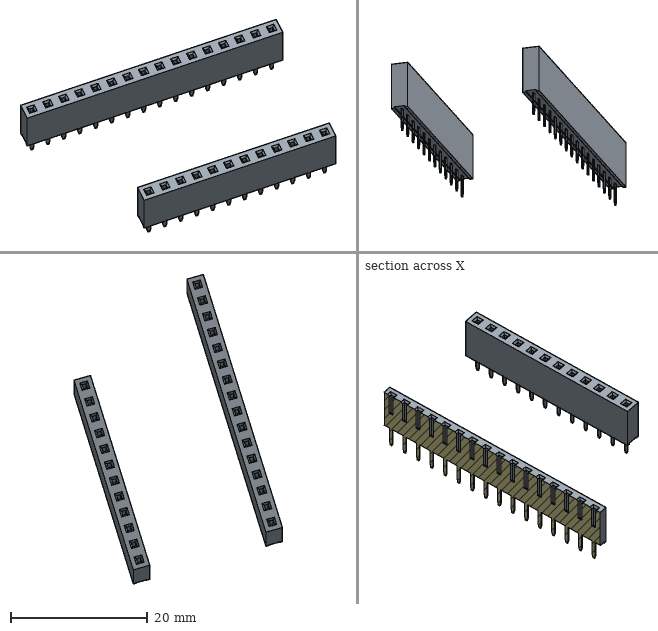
import cadquery as cq

long_length = 40.65
long_count = 16
short_count = 12
pitch = long_length / long_count
row_spacing = 8 * pitch

overall_height = 10.1
housing_height = 7.0
housing_width = pitch
foot_width = 0.5
foot_height = 0.2

lead_in_size = 1.18
lead_in_depth = 0.3
socket_size = lead_in_size - 2 * lead_in_depth
socket_depth = 4.88

pin_thickness = 0.15
pin_width = socket_size
tip_width = 0.3
tip_height = 0.6
pin_rise_in_socket = 1.2
pin_bottom = housing_height - overall_height
socket_floor = housing_height - socket_depth
pin_top = socket_floor + pin_rise_in_socket


def make_housing(length):
    """Bar with its underside at Z = 0, relieved between two feet along its length."""
    bar = cq.Workplane("XY").box(housing_width, length, housing_height, centered=(True, True, False))
    relief_width = housing_width - 2 * foot_width
    relief = cq.Workplane("XY").box(relief_width, length, foot_height, centered=(True, True, False))
    return bar.cut(relief)


def make_opening():
    """Cutter for one contact opening: straight socket plus lead-in tapering down to it."""
    socket = (
        cq.Workplane("XY")
        .workplane(offset=socket_floor)
        .rect(socket_size, socket_size)
        .extrude(socket_depth)
    )
    lead_in = (
        cq.Workplane("XY")
        .workplane(offset=housing_height)
        .rect(lead_in_size, lead_in_size)
        .workplane(offset=-lead_in_depth)
        .rect(socket_size, socket_size)
        .loft()
    )
    return socket.union(lead_in)


def make_pin():
    """Flat pin in the YZ plane, from its tapered tip up into the socket."""
    tip_top = pin_bottom + tip_height
    outline = [
        (-tip_width / 2, pin_bottom),
        (tip_width / 2, pin_bottom),
        (pin_width / 2, tip_top),
        (pin_width / 2, pin_top),
        (-pin_width / 2, pin_top),
        (-pin_width / 2, tip_top),
    ]
    return cq.Workplane("YZ").polyline(outline).close().extrude(pin_thickness / 2, both=True)


def make_header(contact_count):
    """One single-row header, housing and pins in one solid, centred on X = Y = 0."""
    length = contact_count * pitch
    first_contact = (pitch - length) / 2
    contact_places = [(0, first_contact + i * pitch, 0) for i in range(contact_count)]

    header = make_housing(length)
    opening = make_opening()
    pin = make_pin()
    for place in contact_places:
        header = header.cut(opening.translate(place))
    for place in contact_places:
        header = header.union(pin.translate(place))
    return header


short_header_shift = (long_count - short_count) * pitch / 2
long_header = make_header(long_count).translate((-row_spacing / 2, 0, 0))
short_header = make_header(short_count).translate((row_spacing / 2, short_header_shift, 0))

result = cq.Compound.makeCompound([long_header.val(), short_header.val()])